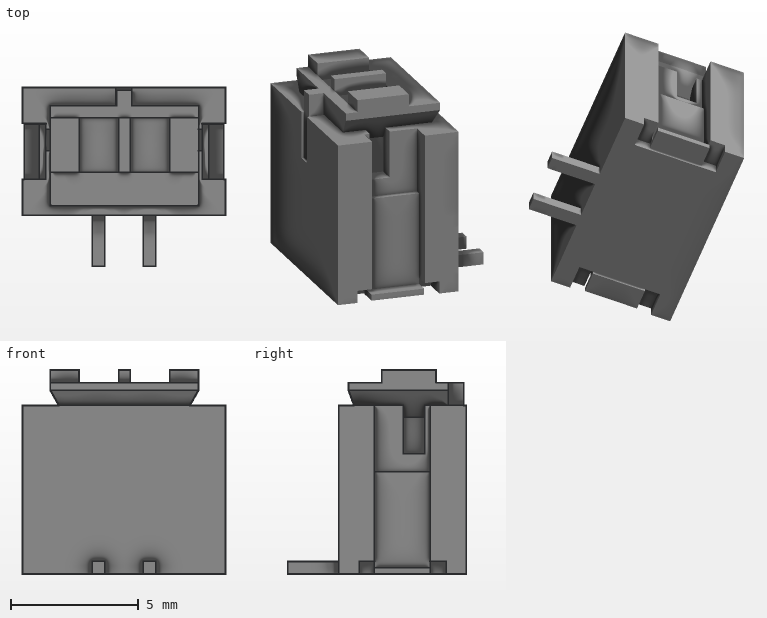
import cadquery as cq

BODY_WIDTH = 7.95
BODY_DEPTH = 5.0
BODY_HEIGHT = 6.6
HALF_WIDTH = BODY_WIDTH / 2

GROOVE_FRONT = 1.4
GROOVE_BACK = 3.59
GROOVE_DEPTH = 0.92

RELIEF_FRONT = 0.8
RELIEF_BACK = 4.2
RELIEF_HEIGHT = 0.5
RELIEF_DEPTH = 1.0

CLIP_FRONT = GROOVE_FRONT
CLIP_BACK = 3.58
CLIP_THICKNESS = 0.25
CLIP_HEIGHT = 4.0
FOOT_SETBACK = 0.07

NOTCH_FRONT = 2.53
NOTCH_BACK = 3.36
NOTCH_FLOOR = 4.7

PIN_PITCH = 2.0
PIN_WIDTH = 0.5
PIN_HEIGHT = 0.5
PIN_LENGTH = 2.0

PLUNGER_X = 0.015
CAP_WIDTH = 5.8
CAP_FRONT = 0.38
CAP_BACK = 4.29
CAP_TOP = 7.49
CAP_THICKNESS = 0.3
CAP_BOTTOM = CAP_TOP - CAP_THICKNESS
NECK_BOTTOM = 6.14
NECK_END_INSET = 0.59
NECK_FRONT_INSET = 0.39

RIB_FRONT = 1.68
RIB_BACK = 3.81
RIB_TOP = 7.99
END_RIB_WIDTH = 1.13
CENTRE_RIB_WIDTH = 0.46
RECESS_DEPTH = 0.2

TAB_WIDTH = 0.59
TAB_BACK = 4.9
TAB_CLEARANCE = 0.04


def block(x_range, y_range, z_range):
    """Axis-aligned box between the given limits."""
    (x0, x1), (y0, y1), (z0, z1) = x_range, y_range, z_range
    return cq.Workplane("XY").box(x1 - x0, y1 - y0, z1 - z0, centered=False).translate((x0, y0, z0))


def on_both_ends(shape):
    """The shape together with its mirror image at the opposite end."""
    return shape.union(shape.mirror("YZ"))


def make_housing():
    neck_end = -CAP_WIDTH / 2 + NECK_END_INSET
    groove_floor = -HALF_WIDTH + GROOVE_DEPTH
    housing = block((-HALF_WIDTH, HALF_WIDTH), (0, BODY_DEPTH), (0, BODY_HEIGHT))
    groove = block((-HALF_WIDTH, groove_floor), (GROOVE_FRONT, GROOVE_BACK), (0, BODY_HEIGHT))
    relief_floor = -HALF_WIDTH + RELIEF_DEPTH
    relief = block((-HALF_WIDTH, relief_floor), (RELIEF_FRONT, RELIEF_BACK), (0, RELIEF_HEIGHT))
    notch = block((-HALF_WIDTH, neck_end), (NOTCH_FRONT, NOTCH_BACK), (NOTCH_FLOOR, BODY_HEIGHT))
    tab_left = PLUNGER_X - TAB_WIDTH / 2
    tab_slot = block((tab_left - TAB_CLEARANCE, tab_left + TAB_WIDTH),
                     (CAP_BACK, BODY_DEPTH), (NOTCH_FLOOR, BODY_HEIGHT))
    notches = on_both_ends(notch).translate((PLUNGER_X, 0, 0))
    return housing.cut(on_both_ends(groove.union(relief))).cut(notches).cut(tab_slot)


def make_clips():
    inner_face = -HALF_WIDTH + GROOVE_DEPTH
    clip_span = (CLIP_FRONT, CLIP_BACK)
    upright = block((inner_face - CLIP_THICKNESS, inner_face), clip_span, (0, CLIP_HEIGHT))
    foot = block((-HALF_WIDTH + FOOT_SETBACK, inner_face), clip_span, (0, CLIP_THICKNESS))
    return on_both_ends(upright.union(foot))


def make_pin(x_centre):
    half_pin = PIN_WIDTH / 2
    return block((x_centre - half_pin, x_centre + half_pin), (-PIN_LENGTH, 0), (0, PIN_HEIGHT))


def make_neck():
    """Loft from the cap outline down to the narrower foot of the neck; its back stays upright."""
    cap_depth = CAP_BACK - CAP_FRONT
    return (
        cq.Workplane("XY", origin=(0, CAP_BACK - cap_depth / 2, CAP_BOTTOM))
        .rect(CAP_WIDTH, cap_depth)
        .workplane(offset=NECK_BOTTOM - CAP_BOTTOM)
        .center(0, NECK_FRONT_INSET / 2)
        .rect(CAP_WIDTH - 2 * NECK_END_INSET, cap_depth - NECK_FRONT_INSET)
        .loft(ruled=True)
    )


def make_plunger():
    half_cap = CAP_WIDTH / 2
    half_rib = CENTRE_RIB_WIDTH / 2
    recess_floor = CAP_TOP - RECESS_DEPTH
    cap = block((-half_cap, half_cap), (CAP_FRONT, CAP_BACK), (CAP_BOTTOM, CAP_TOP))
    recess = block((-half_cap + END_RIB_WIDTH, half_cap - END_RIB_WIDTH),
                   (RIB_FRONT, RIB_BACK), (recess_floor, CAP_TOP))
    end_rib = block((-half_cap, -half_cap + END_RIB_WIDTH), (RIB_FRONT, RIB_BACK), (CAP_TOP, RIB_TOP))
    centre_rib = block((-half_rib, half_rib), (RIB_FRONT, RIB_BACK), (recess_floor, RIB_TOP))
    tab = block((-TAB_WIDTH / 2, TAB_WIDTH / 2), (CAP_BACK, TAB_BACK), (NOTCH_FLOOR, CAP_TOP))
    plunger = cap.cut(recess).union(make_neck())
    plunger = plunger.union(on_both_ends(end_rib)).union(centre_rib).union(tab)
    return plunger.translate((PLUNGER_X, 0, 0))


result = make_housing().union(make_clips()).union(make_plunger())
for pin_side in (-1, 1):
    result = result.union(make_pin(pin_side * PIN_PITCH / 2))